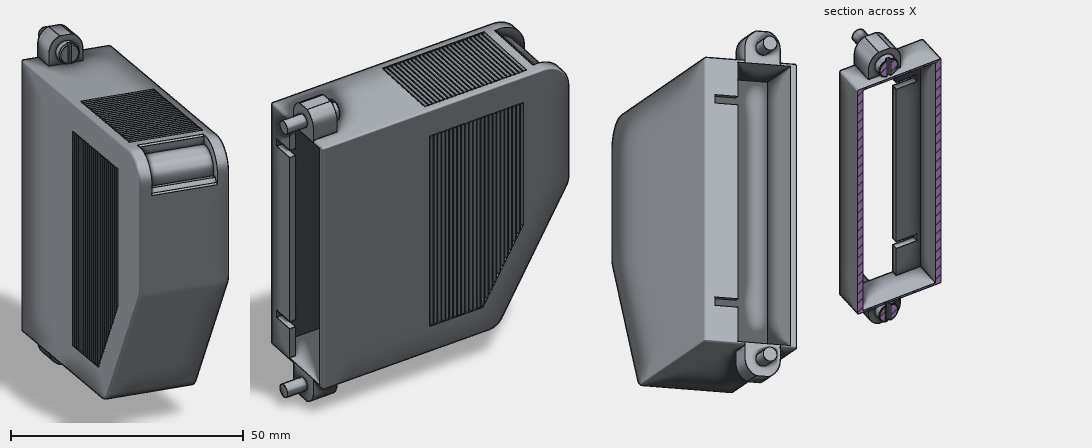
import cadquery as cq
import math

LENGTH = 62.7
WIDTH = 21.0
HEIGHT = 63.0
SLOPE_ANGLE = 60.0
TOP_RADIUS = 6.5
SLOPE_RADIUS = 4.0
RIM_RADIUS = 0.5

CAVITY_DEPTH = 15.6
CAVITY_HEIGHT = 61.7
SIDE_WALL = 1.5
LIP_THICKNESS = 1.5
LIP_EDGE_Y = 2.95
SLOT_END_Y = 8.15
SLOT_HEIGHT = 1.85
SLOT_Z = 22.35

LUG_Y = -2.65
LUG_LENGTH = 6.0
LUG_RADIUS = 4.0
LUG_TIP_Z = 38.08
SCREW_Z = 34.35
SCREW_DIAMETER = 3.1
SCREW_PROTRUSION = 5.0
HEAD_DIAMETER = 4.8
HEAD_HEIGHT = 2.0
HEAD_CHAMFER = 0.3
DRIVER_SLOT_WIDTH = 0.9
DRIVER_SLOT_DEPTH = 0.8

RECESS_WIDTH = 15.4
RECESS_DEPTH = 2.1
RECESS_OVERRUN = 1.1
RECESS_BEVEL = 0.55
RECESS_BEVEL_DROP = 0.3
RECESS_STEP_DROP = 1.0

GROOVE_PITCH = 1.0
GROOVE_WIDTH = 0.8
GROOVE_DEPTH = 0.75
GRIP_START_X = 27.15
GRIP_MARGIN = 6.7
SIDE_GRIP_GROOVES = 24
TOP_GRIP_GROOVES = 26
TOP_GRIP_WIDTH = 17.1

HALF_W = WIDTH / 2
HALF_H = HEIGHT / 2
SLOPE = math.tan(math.radians(SLOPE_ANGLE))
SLOPE_FOOT_X = LENGTH - HALF_H / SLOPE
CORNER_X = LENGTH - TOP_RADIUS
CORNER_Z = HALF_H - TOP_RADIUS


def box(x0, x1, y0, y1, z0, z1):
    """Axis-aligned box between opposite corners."""
    return cq.Workplane("XY").box(x1 - x0, y1 - y0, z1 - z0, centered=False).translate((x0, y0, z0))


def extrude_along_y(sketch, y0, y1):
    """Extrude a closed outline drawn in X and Z from y0 to y1."""
    return sketch.extrude(y1 - y0).translate((0, y1, 0))


def shell():
    """Outer block with rounded corners and rounded rim edges."""
    outline = cq.Workplane("XZ").polyline([
        (0, -HALF_H),
        (SLOPE_FOOT_X, -HALF_H),
        (LENGTH, 0),
        (LENGTH, HALF_H),
        (0, HALF_H),
    ]).close()
    body = extrude_along_y(outline, -HALF_W, HALF_W)
    corners = [
        (LENGTH, HALF_H, TOP_RADIUS),
        (LENGTH, 0, SLOPE_RADIUS),
        (SLOPE_FOOT_X, -HALF_H, SLOPE_RADIUS),
    ]
    for x, z, radius in corners:
        body = body.edges(cq.selectors.NearestToPointSelector((x, 0, z))).fillet(radius)
    return body.faces("<Y or >Y or <X").edges().fillet(RIM_RADIUS)


def cavity():
    """Hollow behind the mouth, with the slotted lip left standing in the opening."""
    inner_y = HALF_W - SIDE_WALL
    half_cavity = CAVITY_HEIGHT / 2
    space = box(0, CAVITY_DEPTH, -inner_y, LIP_EDGE_Y, -half_cavity, half_cavity)
    space = space.union(box(LIP_THICKNESS, CAVITY_DEPTH, -inner_y, inner_y, -half_cavity, half_cavity))
    for z in (-SLOT_Z, SLOT_Z):
        slot = box(0, CAVITY_DEPTH, 0, SLOT_END_Y, z - SLOT_HEIGHT / 2, z + SLOT_HEIGHT / 2)
        space = space.union(slot)
    return space


def corner_recess():
    """Recess that follows the upper corner arc at a constant depth."""
    floor_radius = TOP_RADIUS - RECESS_DEPTH
    diagonal = floor_radius * math.sqrt(0.5)
    start_x = CORNER_X - RECESS_OVERRUN
    end_z = CORNER_Z - RECESS_OVERRUN
    step_x = LENGTH - 2 * RECESS_BEVEL
    bevel_z = end_z - RECESS_STEP_DROP
    outline = (
        cq.Workplane("XZ")
        .moveTo(start_x, HALF_H)
        .lineTo(start_x + RECESS_BEVEL, HALF_H - RECESS_BEVEL_DROP)
        .lineTo(start_x + RECESS_BEVEL, HALF_H - RECESS_DEPTH)
        .lineTo(CORNER_X, HALF_H - RECESS_DEPTH)
        .threePointArc((CORNER_X + diagonal, CORNER_Z + diagonal), (LENGTH - RECESS_DEPTH, CORNER_Z))
        .lineTo(LENGTH - RECESS_DEPTH, end_z)
        .lineTo(step_x, end_z)
        .lineTo(step_x + RECESS_BEVEL, bevel_z)
        .lineTo(LENGTH, bevel_z - RECESS_BEVEL_DROP)
        .lineTo(LENGTH, HALF_H)
        .close()
    )
    return extrude_along_y(outline, -RECESS_WIDTH / 2, RECESS_WIDTH / 2)


def v_grooves(workplane, count, surface, inward):
    """Triangular groove outlines against a surface; `inward` is the sign of the cutting direction."""
    for i in range(count):
        x = GRIP_START_X + i * GROOVE_PITCH
        workplane = workplane.polyline([
            (x, surface),
            (x + GROOVE_WIDTH / 2, surface + inward * GROOVE_DEPTH),
            (x + GROOVE_WIDTH, surface),
        ]).close()
    return workplane


def top_grip():
    """Grooves along Y in the upper face."""
    grooves = v_grooves(cq.Workplane("XZ"), TOP_GRIP_GROOVES, HALF_H, -1)
    return extrude_along_y(grooves, -TOP_GRIP_WIDTH / 2, TOP_GRIP_WIDTH / 2)


def side_grip():
    """Grooves along Z in the -Y face, trimmed parallel to the inclined face."""
    end_x = GRIP_START_X + SIDE_GRIP_GROOVES * GROOVE_PITCH
    half_grip = HALF_H - GRIP_MARGIN
    trim_x = LENGTH - GRIP_MARGIN / math.sin(math.radians(SLOPE_ANGLE))
    area = cq.Workplane("XZ").polyline([
        (GRIP_START_X, -half_grip),
        (trim_x - half_grip / SLOPE, -half_grip),
        (end_x, (end_x - trim_x) * SLOPE),
        (end_x, half_grip),
        (GRIP_START_X, half_grip),
    ]).close()
    grooves = v_grooves(cq.Workplane("XY"), SIDE_GRIP_GROOVES, -HALF_W, 1)
    grooves = grooves.extrude(2 * half_grip).translate((0, 0, -half_grip))
    return grooves.intersect(extrude_along_y(area, -HALF_W, 0))


def lug():
    """Upper lug: round about the screw axis, cut flat at its tip."""
    root_z = CAVITY_HEIGHT / 2
    arm = box(0, LUG_LENGTH, LUG_Y - LUG_RADIUS, LUG_Y + LUG_RADIUS, root_z, SCREW_Z)
    tip = cq.Workplane("YZ").center(LUG_Y, SCREW_Z).circle(LUG_RADIUS).extrude(LUG_LENGTH)
    tip_limit = box(0, LUG_LENGTH, LUG_Y - LUG_RADIUS, LUG_Y + LUG_RADIUS, SCREW_Z, LUG_TIP_Z)
    return arm.union(tip.intersect(tip_limit))


def screw():
    """Upper screw: shank out of the mouth side, slotted head on the other side of the lug."""
    head_end = LUG_LENGTH + HEAD_HEIGHT
    axis = cq.Workplane("YZ").center(LUG_Y, SCREW_Z)
    shank = axis.circle(SCREW_DIAMETER / 2).extrude(SCREW_PROTRUSION + LUG_LENGTH)
    shank = shank.translate((-SCREW_PROTRUSION, 0, 0))
    head = axis.circle(HEAD_DIAMETER / 2).extrude(HEAD_HEIGHT).faces(">X").chamfer(HEAD_CHAMFER)
    head = head.translate((LUG_LENGTH, 0, 0))
    driver_slot = box(
        head_end - DRIVER_SLOT_DEPTH, head_end,
        LUG_Y - DRIVER_SLOT_WIDTH / 2, LUG_Y + DRIVER_SLOT_WIDTH / 2,
        SCREW_Z - HEAD_DIAMETER / 2, SCREW_Z + HEAD_DIAMETER / 2,
    )
    return shank.union(head.cut(driver_slot))


result = shell().cut(cavity()).cut(corner_recess()).cut(top_grip()).cut(side_grip())
upper_mount = lug().union(screw())
result = result.union(upper_mount).union(upper_mount.mirror("XY"))